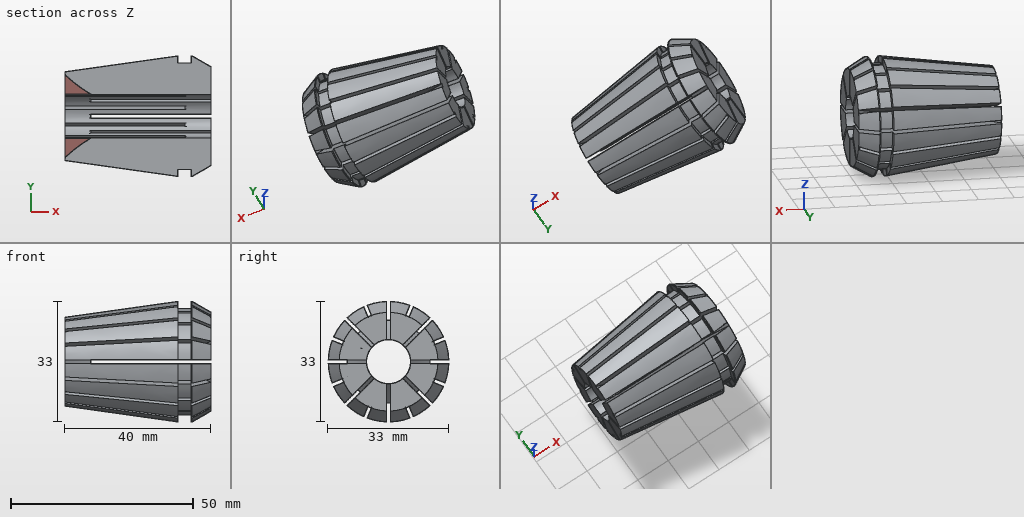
import cadquery as cq
import math

length = 40.0
head_diameter = 33.0
bore_diameter = 12.0

taper_length = 30.9
taper_angle = 8.0
groove_width = 3.6
groove_diameter = 29.2
rim_width = 0.3
nose_angle = 30.0

slots_per_set = 8
slot_width = 1.0
slot_pitch = 360.0 / slots_per_set

saw_radius = 40.0
uncut_bore_length = 7.1
floor_height_at_narrow_end = 11.35
floor_height_at_nose = 13.6

cutter_clearance = 0.4

head_radius = head_diameter / 2
groove_radius = groove_diameter / 2
bore_radius = bore_diameter / 2
narrow_end_radius = head_radius - taper_length * math.tan(math.radians(taper_angle))
groove_end = taper_length + groove_width
nose_start = groove_end + rim_width
nose_end_radius = head_radius - (length - nose_start) * math.tan(math.radians(nose_angle))


def turned_body():
    """Revolve the wall section between bore and outside about the X axis."""
    section = (
        cq.Workplane("XY")
        .moveTo(0, bore_radius)
        .lineTo(0, narrow_end_radius)
        .lineTo(taper_length, head_radius)
        .lineTo(taper_length, groove_radius)
        .lineTo(groove_end, groove_radius)
        .lineTo(groove_end, head_radius)
        .lineTo(nose_start, head_radius)
        .lineTo(length, nose_end_radius)
        .lineTo(length, bore_radius)
        .close()
    )
    return section.revolve(360, (0, 0, 0), (1, 0, 0))


def slot_cutter(floor_height):
    """One slot on the +Y side, closed near X = 0 and open at the far end."""
    outer_height = head_radius + cutter_clearance
    inner_height = bore_radius / 2
    open_end = length + cutter_clearance
    profile = (
        cq.Workplane("XY")
        .moveTo(0, outer_height)
        .lineTo(0, floor_height)
        .radiusArc((uncut_bore_length, bore_radius), -saw_radius)
        .lineTo(uncut_bore_length, inner_height)
        .lineTo(open_end, inner_height)
        .lineTo(open_end, outer_height)
        .close()
    )
    return profile.extrude(slot_width / 2, both=True)


def cut_slot_set(body, cutter, start_angle):
    """Cut one full ring of equally spaced slots."""
    for index in range(slots_per_set):
        angle = start_angle + index * slot_pitch
        body = body.cut(cutter.rotate((0, 0, 0), (1, 0, 0), angle))
    return body


slot_from_nose = slot_cutter(floor_height_at_narrow_end)
slot_from_narrow_end = slot_cutter(floor_height_at_nose).mirror("YZ", (length / 2, 0, 0))

result = turned_body()
result = cut_slot_set(result, slot_from_nose, 0)
result = cut_slot_set(result, slot_from_narrow_end, slot_pitch / 2)